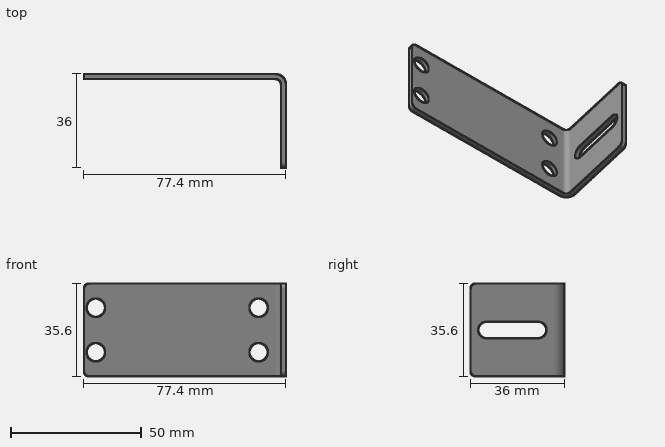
import cadquery as cq

length = 77.4
depth = 36.0
height = 35.6
thickness = 2.0
inner_bend_radius = 2.0
corner_radius = 2.0

hole_diameter = 7.0
hole_edge_distance = 4.6
hole_spacing_x = 62.3
hole_spacing_z = 17.0

slot_length = 26.0
slot_width = 6.2
slot_back_distance = 7.0


def bent_sheet():
    """L-shaped sheet with the outer bend corner at X = length, Y = depth."""
    profile = (
        cq.Workplane("XY")
        .moveTo(0, depth)
        .lineTo(length, depth)
        .lineTo(length, 0)
        .lineTo(length - thickness, 0)
        .lineTo(length - thickness, depth - thickness)
        .lineTo(0, depth - thickness)
        .close()
    )
    sheet = profile.extrude(height)
    inner_bend = cq.selectors.NearestToPointSelector(
        (length - thickness, depth - thickness, height / 2)
    )
    outer_bend = cq.selectors.NearestToPointSelector((length, depth, height / 2))
    sheet = sheet.edges("|Z").edges(inner_bend).fillet(inner_bend_radius)
    sheet = sheet.edges("|Z").edges(outer_bend).fillet(inner_bend_radius + thickness)
    sheet = sheet.faces("<X").edges("|Y").fillet(corner_radius)
    return sheet.faces("<Y").edges("|X").fillet(corner_radius)


def plate_holes():
    """Cutters for the four holes through the long plate."""
    centers = [
        (hole_edge_distance + dx, height / 2 + dz)
        for dx in (0, hole_spacing_x)
        for dz in (-hole_spacing_z / 2, hole_spacing_z / 2)
    ]
    return (
        cq.Workplane("XZ", origin=(0, depth, 0))
        .pushPoints(centers)
        .circle(hole_diameter / 2)
        .extrude(thickness)
    )


def flange_slot():
    """Cutter for the slot through the short flange, long side along Y."""
    slot_center_y = depth - slot_back_distance - slot_length / 2
    return (
        cq.Workplane("YZ", origin=(length - thickness, slot_center_y, height / 2))
        .slot2D(slot_length, slot_width)
        .extrude(thickness)
    )


result = bent_sheet().cut(plate_holes()).cut(flange_slot())